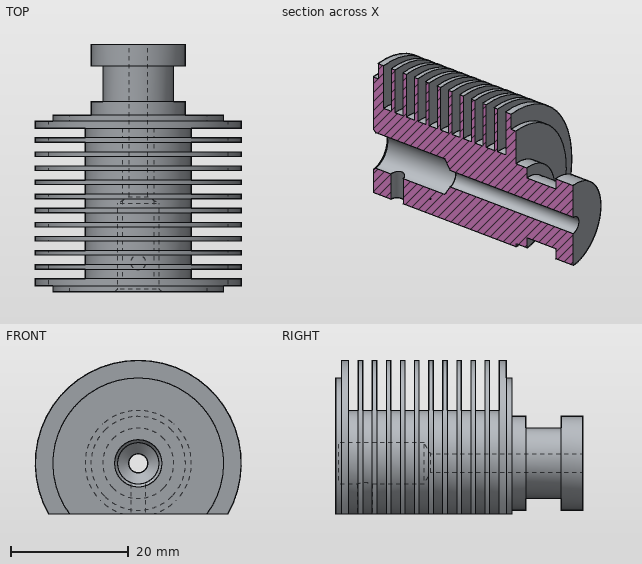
import cadquery as cq
import math

total_length = 42.0
disk_diameter = 35.0
boss_diameter = 29.0
core_diameter = 18.0
collar_diameter = 16.0
groove_diameter = 12.0
flat_depth = 8.6

boss_length = 1.0
end_disk_thickness = 1.2
fin_thickness = 0.8
fin_count = 10
shoulder_length = 2.3
groove_length = 6.0
head_length = 3.7

bore_diameter = 7.0
bore_mouth_diameter = 8.02
bore_depth = 15.0
drill_point_angle = 118.0
passage_diameter = 3.2

cross_hole_diameter = 2.5
cross_hole_position = 5.0

neck_length = shoulder_length + groove_length + head_length
body_length = total_length - neck_length
front_disk_end = boss_length + end_disk_thickness
rear_disk_start = body_length - front_disk_end
fin_span = rear_disk_start - front_disk_end
fin_gap = (fin_span - fin_count * fin_thickness) / (fin_count + 1)


def cylinder(diameter, start, length):
    """Round bar on the Y axis that begins at Y = start and runs toward +Y."""
    plane = cq.Workplane("XZ", origin=(0, start, 0))
    return plane.circle(diameter / 2).extrude(-length)


def finned_body():
    """Core with end bosses, end disks and thin fins, cut flat underneath."""
    body = cylinder(core_diameter, 0, body_length)
    for start in (0, body_length - boss_length):
        body = body.union(cylinder(boss_diameter, start, boss_length))
    for start in (boss_length, rear_disk_start):
        body = body.union(cylinder(disk_diameter, start, end_disk_thickness))
    for index in range(fin_count):
        start = front_disk_end + fin_gap + index * (fin_gap + fin_thickness)
        body = body.union(cylinder(disk_diameter, start, fin_thickness))
    below_flat = cq.Workplane("XY").box(
        disk_diameter, body_length, disk_diameter, centered=(True, False, False)
    )
    return body.cut(below_flat.translate((0, 0, -flat_depth - disk_diameter)))


def mounting_neck():
    """Grooved round neck at the rear of the body."""
    groove_start = body_length + shoulder_length
    head_start = groove_start + groove_length
    neck = cylinder(collar_diameter, body_length, shoulder_length)
    neck = neck.union(cylinder(groove_diameter, groove_start, groove_length))
    return neck.union(cylinder(collar_diameter, head_start, head_length))


def axial_hole():
    """Revolved void of the chamfered bore, its drill point and the passage."""
    bore_radius = bore_diameter / 2
    mouth_radius = bore_mouth_diameter / 2
    passage_radius = passage_diameter / 2
    chamfer_depth = mouth_radius - bore_radius
    half_angle = math.radians(drill_point_angle / 2)
    point_length = (bore_radius - passage_radius) / math.tan(half_angle)
    profile = (
        cq.Workplane("XY")
        .moveTo(0, 0)
        .lineTo(mouth_radius, 0)
        .lineTo(bore_radius, chamfer_depth)
        .lineTo(bore_radius, bore_depth)
        .lineTo(passage_radius, bore_depth + point_length)
        .lineTo(passage_radius, total_length)
        .lineTo(0, total_length)
        .close()
    )
    return profile.revolve(360, (0, 0, 0), (0, 1, 0))


def cross_hole():
    """Round void that rises from the flat underside to the axis of the bore."""
    plane = cq.Workplane("XY", origin=(0, cross_hole_position, -flat_depth))
    return plane.circle(cross_hole_diameter / 2).extrude(flat_depth)


result = finned_body().union(mounting_neck()).cut(axial_hole()).cut(cross_hole())